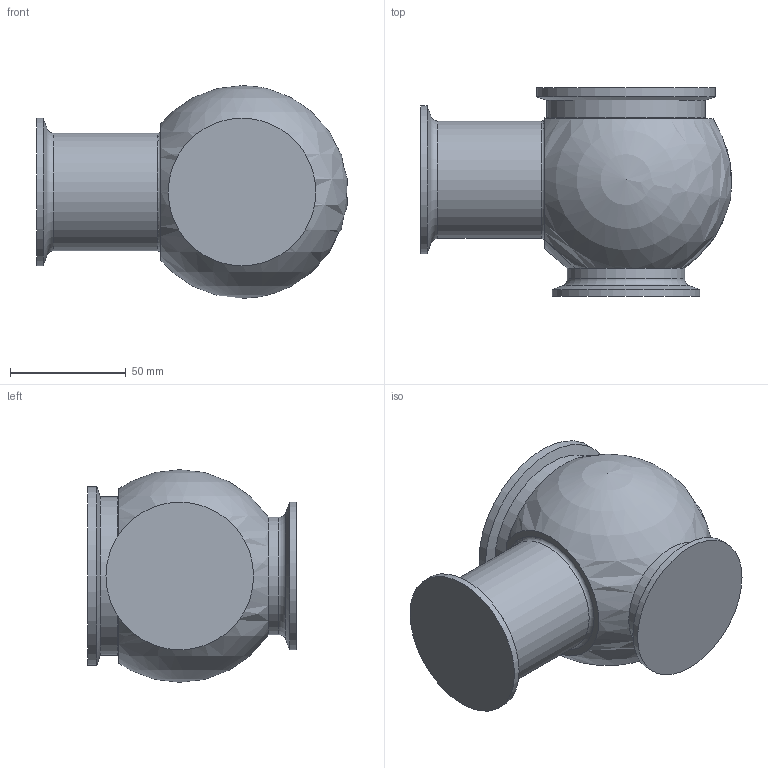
import cadquery as cq
import math

body_diameter = 92.05
body_radius = body_diameter / 2
inlet_flat_offset = 35.1
cover_flat_offset = 26.4

inlet_reach = 88.9
outlet_reach = 50.37
cover_reach = 39.8

tube_diameter = 50.8
ferrule_diameter = 63.91
ferrule_rim = 2.85
ferrule_taper = math.radians(20)
ferrule_cove = 3.2

cover_neck_diameter = 68.78
cover_flange_diameter = 77.47
cover_rim = 3.9
cover_taper = math.radians(18)

inlet_fillet = 1.5
cover_fillet = 0.5


def revolve_about_z(profile):
    """Turn a half profile, drawn as (radius, height), about the Z axis."""
    return profile.close().revolve(360, (0, 0, 0), (0, 1, 0)).rotate((0, 0, 0), (1, 0, 0), 90)


def tube_port(reach):
    """Solid tube along +Z from the origin, ending in a tapered, coved ferrule."""
    tube_radius = tube_diameter / 2
    ferrule_radius = ferrule_diameter / 2
    rim_base = reach - ferrule_rim
    cove_centre_r = tube_radius + ferrule_cove
    taper_end_r = cove_centre_r - ferrule_cove * math.sin(ferrule_taper)
    taper_end_z = rim_base - (ferrule_radius - taper_end_r) * math.tan(ferrule_taper)
    cove_centre_z = taper_end_z - ferrule_cove * math.cos(ferrule_taper)
    mid_angle = (math.pi / 2 + ferrule_taper + math.pi) / 2
    cove_middle = (
        cove_centre_r + ferrule_cove * math.cos(mid_angle),
        cove_centre_z + ferrule_cove * math.sin(mid_angle),
    )
    return revolve_about_z(
        cq.Workplane("XY")
        .lineTo(tube_radius, 0)
        .lineTo(tube_radius, cove_centre_z)
        .threePointArc(cove_middle, (taper_end_r, taper_end_z))
        .lineTo(ferrule_radius, rim_base)
        .lineTo(ferrule_radius, reach)
        .lineTo(0, reach)
    )


def cover_port():
    """Wide short neck along +Z from the origin, ending in a tapered flange."""
    neck_radius = cover_neck_diameter / 2
    flange_radius = cover_flange_diameter / 2
    rim_base = cover_reach - cover_rim
    taper_base = rim_base - (flange_radius - neck_radius) * math.tan(cover_taper)
    return revolve_about_z(
        cq.Workplane("XY")
        .moveTo(0, cover_flat_offset)
        .lineTo(neck_radius, cover_flat_offset)
        .lineTo(neck_radius, taper_base)
        .lineTo(flange_radius, rim_base)
        .lineTo(flange_radius, cover_reach)
        .lineTo(0, cover_reach)
    )


def fillet_collar(stem_diameter, flat_offset, fillet_radius):
    """Concave collar along +Z that blends a round stem into a body flat."""
    stem_radius = stem_diameter / 2
    collar_radius = stem_radius + fillet_radius
    collar_top = flat_offset + fillet_radius
    arc_drop = fillet_radius * math.sqrt(0.5)
    arc_middle = (collar_radius - arc_drop, collar_top - arc_drop)
    return revolve_about_z(
        cq.Workplane("XY")
        .moveTo(0, flat_offset)
        .lineTo(collar_radius, flat_offset)
        .threePointArc(arc_middle, (stem_radius, collar_top))
        .lineTo(0, collar_top)
    )


def toward_minus_x(shape):
    return shape.rotate((0, 0, 0), (0, 1, 0), -90)


def toward_minus_y(shape):
    return shape.rotate((0, 0, 0), (1, 0, 0), 90)


def toward_plus_y(shape):
    return shape.rotate((0, 0, 0), (1, 0, 0), -90)


def flattened_body():
    """Sphere cut flat on its -X and +Y sides, with its seam inside the -X port."""
    envelope = cq.Workplane("XY").box(
        inlet_flat_offset + body_diameter,
        cover_flat_offset + body_diameter,
        body_diameter * 2,
    ).translate((
        (body_diameter - inlet_flat_offset) / 2,
        (cover_flat_offset - body_diameter) / 2,
        0,
    ))
    sphere = cq.Workplane("XY").sphere(body_radius).rotate((0, 0, 0), (0, 0, 1), 180)
    return sphere.intersect(envelope)


inlet_port = tube_port(inlet_reach).union(
    fillet_collar(tube_diameter, inlet_flat_offset, inlet_fillet)
)
outlet_port = tube_port(outlet_reach)
cover_neck = cover_port().union(
    fillet_collar(cover_neck_diameter, cover_flat_offset, cover_fillet)
)

result = (
    flattened_body()
    .union(toward_minus_x(inlet_port))
    .union(toward_minus_y(outlet_port))
    .union(toward_plus_y(cover_neck))
)